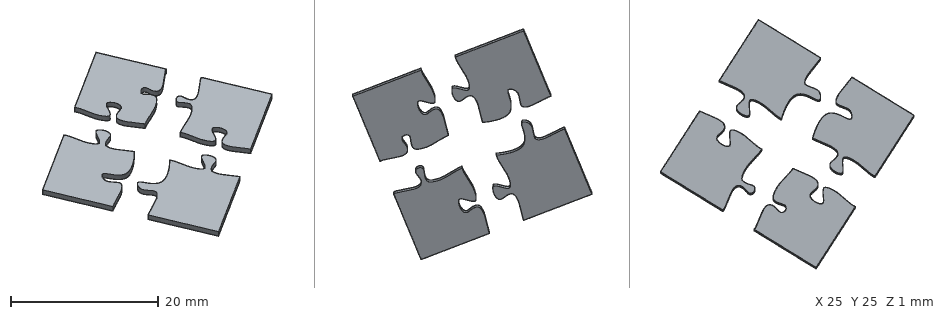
import cadquery as cq

overall_size = 25.0
piece_size = 10.0
piece_thickness = 1.0
second_piece_start = overall_size - piece_size

seam_start = (0.0, 0.0)
seam_end = (piece_size, 0.0)

row_seam = [
    seam_start,
    (1.88, -0.18), (3.85, -0.35), (5.0, 0.08), (4.75, 0.7),
    (4.02, 2.02), (4.8, 2.32), (6.08, 1.82),
    (5.9, 0.92), (5.9, 0.1), (7.62, -0.32),
    seam_end,
]
upper_column_seam = [
    seam_start,
    (2.5, -0.38), (4.02, -0.4), (5.0, -0.02), (5.05, 1.15),
    (5.0, 2.0), (5.52, 2.22), (5.98, 2.02),
    (5.85, 0.72), (5.98, 0.0), (7.6, -0.3),
    seam_end,
]
lower_column_seam = [
    seam_start,
    (2.18, -0.2), (4.2, 0.22), (4.1, 1.22),
    (4.08, 2.3), (4.55, 2.88), (4.9, 3.0),
    (5.3, 1.75), (5.48, 0.82), (5.8, 0.18), (7.85, -0.42),
    seam_end,
]


def row_edge(seam, x, y):
    """Seam running along +X from (x, y), with its tab pointing +Y."""
    return cq.Edge.makeSpline([cq.Vector(x + along, y + out) for along, out in seam])


def column_edge(seam, x, y):
    """Seam running along +Y from (x, y), with its tab pointing -X."""
    return cq.Edge.makeSpline([cq.Vector(x - out, y + along) for along, out in seam])


def straight_edge(start, end):
    return cq.Edge.makeLine(cq.Vector(*start), cq.Vector(*end))


def jigsaw_piece(x, y, column_seam):
    """Piece with its lower left corner at (x, y); its inner sides are seams, its outer sides straight."""
    right = x + piece_size
    top = y + piece_size
    is_left = x == 0
    is_lower = y == 0

    row_seam_y = top if is_lower else y
    outer_y = y if is_lower else top
    column_seam_x = right if is_left else x
    outer_x = x if is_left else right

    outline = cq.Wire.assembleEdges([
        row_edge(row_seam, x, row_seam_y),
        column_edge(column_seam, column_seam_x, y),
        straight_edge((x, outer_y), (right, outer_y)),
        straight_edge((outer_x, y), (outer_x, top)),
    ])
    return cq.Solid.extrudeLinear(outline, [], cq.Vector(0, 0, piece_thickness))


pieces = [
    jigsaw_piece(x, y, column_seam)
    for y, column_seam in ((0, lower_column_seam), (second_piece_start, upper_column_seam))
    for x in (0, second_piece_start)
]

result = cq.Compound.makeCompound(pieces)